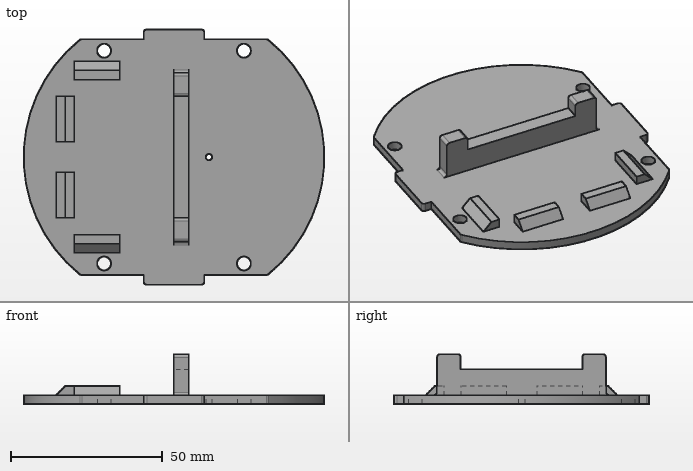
import cadquery as cq
import math

plate_thickness = 3.0
plate_radius = 49.5
flat_to_flat = 77.6
plate_corner_radius = 1.0
tab_width = 20.0
tab_to_tab = 84.0
tab_corner_radius = 1.0

screw_hole_diameter = 4.5
screw_spacing_x = 46.0
screw_spacing_y = 70.0
pin_hole_diameter = 2.0
pin_hole_x = 11.5

bar_thickness = 5.0
bar_length = 55.6
bar_left_x = -0.1
post_gap = 40.0
bar_top_z = 16.5
saddle_z = 11.5
bar_fillet = 1.0

block_length = 15.0
block_width = 6.0
block_height = 3.0
block_chamfer = 3.0
side_block_inner_x = -32.8
side_block_center_y = 12.5
end_block_inner_y = 25.5


def make_plate():
    half_flats = flat_to_flat / 2
    flat_end_x = math.sqrt(plate_radius**2 - half_flats**2)
    plate = (
        cq.Workplane("XY")
        .moveTo(-flat_end_x, -half_flats)
        .lineTo(flat_end_x, -half_flats)
        .threePointArc((plate_radius, 0), (flat_end_x, half_flats))
        .lineTo(-flat_end_x, half_flats)
        .threePointArc((-plate_radius, 0), (-flat_end_x, -half_flats))
        .close()
        .extrude(plate_thickness)
        .edges("|Z")
        .fillet(plate_corner_radius)
    )
    tabs = (
        cq.Workplane("XY")
        .rect(tab_width, tab_to_tab)
        .extrude(plate_thickness)
        .edges("|Z")
        .fillet(tab_corner_radius)
    )
    return plate.union(tabs)


def cut_holes(body):
    screw_holes = (
        cq.Workplane("XY")
        .rect(screw_spacing_x, screw_spacing_y, forConstruction=True)
        .vertices()
        .circle(screw_hole_diameter / 2)
        .extrude(plate_thickness)
    )
    pin_hole = (
        cq.Workplane("XY")
        .center(pin_hole_x, 0)
        .circle(pin_hole_diameter / 2)
        .extrude(plate_thickness)
    )
    return body.cut(screw_holes).cut(pin_hole)


def make_bar():
    """Bar profile in the YZ plane: flared feet, rounded posts and a low saddle between them."""
    half_length = bar_length / 2
    half_gap = post_gap / 2
    foot_y = half_length + bar_fillet
    foot_z = plate_thickness + bar_fillet
    profile = (
        cq.Workplane("YZ", origin=(bar_left_x, 0, 0))
        .moveTo(-foot_y, plate_thickness)
        .radiusArc((-half_length, foot_z), -bar_fillet)
        .lineTo(-half_length, bar_top_z)
        .lineTo(-half_gap, bar_top_z)
        .lineTo(-half_gap, saddle_z)
        .lineTo(half_gap, saddle_z)
        .lineTo(half_gap, bar_top_z)
        .lineTo(half_length, bar_top_z)
        .lineTo(half_length, foot_z)
        .radiusArc((foot_y, plate_thickness), -bar_fillet)
        .close()
    )
    bar = profile.extrude(bar_thickness)
    return bar.faces(">Z").edges("|X").fillet(bar_fillet)


def make_block(center_along, inner_distance, outward_angle):
    """Wedge whose outer side slopes away from the plate centre, turned to face outward_angle in degrees."""
    profile = (
        cq.Workplane("XZ", origin=(inner_distance, center_along + block_length / 2, plate_thickness))
        .lineTo(block_width, 0)
        .lineTo(block_width - block_chamfer, block_height)
        .lineTo(0, block_height)
        .close()
    )
    return profile.extrude(block_length).rotate((0, 0, 0), (0, 0, 1), outward_angle)


def make_blocks():
    end_block_center_x = side_block_inner_x + block_length / 2
    return [
        make_block(side_block_center_y, -side_block_inner_x, 180),
        make_block(-side_block_center_y, -side_block_inner_x, 180),
        make_block(-end_block_center_x, end_block_inner_y, 90),
        make_block(end_block_center_x, end_block_inner_y, -90),
    ]


result = cut_holes(make_plate()).union(make_bar())
for block in make_blocks():
    result = result.union(block)